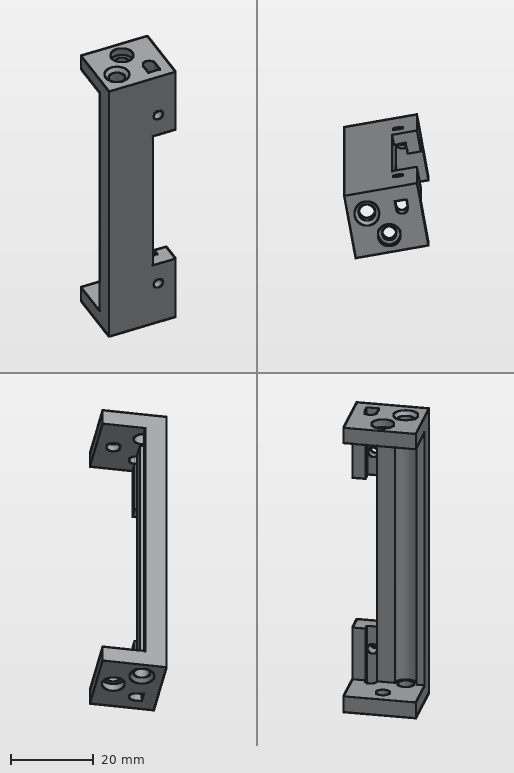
import cadquery as cq

width = 15.7
depth = 17.9
height = 75.3
top_plate = 4.1
bottom_plate = 4.2

column_face_x = 10.5
column_depth = 11.8
ear_length = 13.7
lower_ear_step_x = 12.2
upper_ear_step_x = 13.2
ear_step_y = 14.7
ear_hole_diameter = 2.5
ear_hole_offset = 7.7
ear_hole_y = (column_depth + ear_step_y) / 2

rod_y = 4.7
groove_diameter = 5.3
rod_hole_diameter = 4.0
rod_countersink_diameter = 6.0

screw_x = 4.2
screw_y = 9.0
screw_diameter = 3.4
screw_head_diameter = 5.5
screw_head_depth = 2.0

slot_start_x = 8.9
upper_slot_width = 3.1
lower_slot_width = ear_step_y - column_depth

inner_bottom = bottom_plate
inner_top = height - top_plate


def box(x0, x1, y0, y1, z0, z1):
    """Block between two opposite corners."""
    block = cq.Workplane("XY").box(x1 - x0, y1 - y0, z1 - z0, centered=False)
    return block.translate((x0, y0, z0))


def cylinder(x, y, diameter, z0, z1):
    """Upright cylinder between two heights."""
    return cq.Workplane("XY", origin=(x, y, z0)).circle(diameter / 2).extrude(z1 - z0)


def make_column():
    column = box(column_face_x, width, 0, column_depth, inner_bottom, inner_top)
    groove = cylinder(column_face_x, rod_y, groove_diameter, inner_bottom, inner_top)
    return column.cut(groove)


def make_ear(z0, hole_z, step_x):
    """Stepped ear with a cross hole through its thinner part."""
    z1 = z0 + ear_length
    thick = box(column_face_x, width, ear_step_y, depth, z0, z1)
    thin = box(step_x, width, column_depth, ear_step_y, z0, z1)
    hole_plane = cq.Workplane("YZ", origin=(0, ear_hole_y, hole_z))
    hole = hole_plane.circle(ear_hole_diameter / 2).extrude(width)
    return thick.union(thin).cut(hole)


def make_slot(end_x, slot_width, thickness):
    """Slot cutter running along the back of the column depth."""
    radius = slot_width / 2
    round_x = slot_start_x + radius
    straight = box(round_x, end_x, column_depth, column_depth + slot_width, 0, thickness)
    return straight.union(cylinder(round_x, column_depth + radius, slot_width, 0, thickness))


def make_plate(thickness, slot_end_x, slot_width):
    """End plate with its outer face up, its underside at z = 0."""
    plate = box(0, width, 0, depth, 0, thickness)
    outer_face = cq.Workplane("XY", origin=(0, 0, thickness))
    screw_hole = cylinder(screw_x, screw_y, screw_diameter, 0, thickness)
    screw_head = cylinder(screw_x, screw_y, screw_head_diameter, thickness - screw_head_depth, thickness)
    rod_hole = cylinder(column_face_x, rod_y, rod_hole_diameter, 0, thickness)
    countersink_depth = (rod_countersink_diameter - rod_hole_diameter) / 2
    countersink = (
        outer_face.center(column_face_x, rod_y)
        .circle(rod_countersink_diameter / 2)
        .extrude(-countersink_depth, taper=45)
    )
    plate = plate.cut(screw_hole).cut(screw_head)
    plate = plate.cut(rod_hole).cut(countersink)
    return plate.cut(make_slot(slot_end_x, slot_width, thickness))


upper_plate = make_plate(top_plate, upper_ear_step_x, upper_slot_width)
upper_plate = upper_plate.translate((0, 0, inner_top))
lower_plate = make_plate(bottom_plate, lower_ear_step_x, lower_slot_width)
lower_plate = lower_plate.mirror("XY").translate((0, 0, inner_bottom))

upper_ear = make_ear(inner_top - ear_length, inner_top - ear_hole_offset, upper_ear_step_x)
lower_ear = make_ear(inner_bottom, inner_bottom + ear_hole_offset, lower_ear_step_x)

result = make_column().union(upper_plate).union(lower_plate)
result = result.union(upper_ear).union(lower_ear)